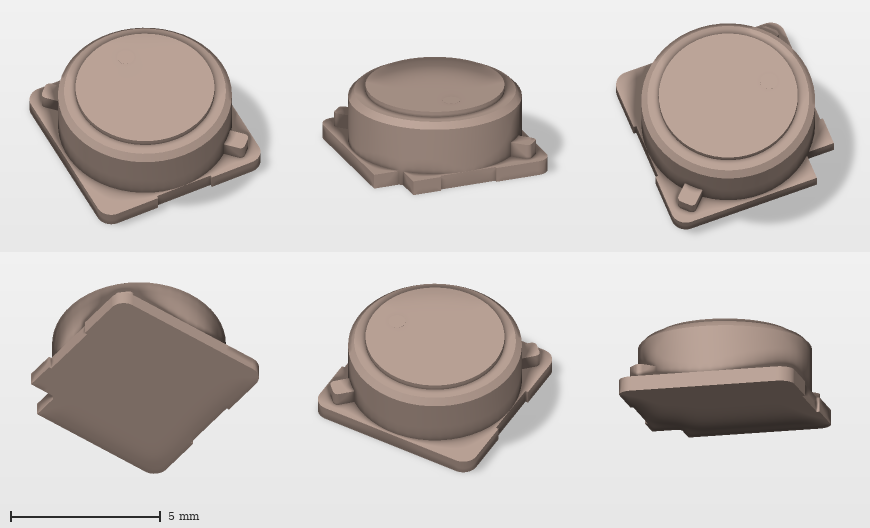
import cadquery as cq

base_side = 6.0
base_height = 0.5
corner_radius = 0.5
corner_notch = 1.0
recess_length = 2.0
recess_depth = 0.095

body_diameter = 5.8
shoulder_diameter = 5.4
shoulder_height = 2.305
bevel = (body_diameter - shoulder_diameter) / 2

cap_diameter = 4.64
cap_top = 2.5
dot_diameter = 0.58
dot_offset = 1.45
total_height = 2.51

tab_span = 7.14
tab_width = 0.64
tab_height = 0.505
tab_corner_radius = 0.16
tab_angle = 45


def make_base():
    """Square plate with three round corners, one notched corner and two side recesses."""
    half = base_side / 2
    plate = cq.Workplane("XY").rect(base_side, base_side).extrude(base_height)
    plate = plate.edges("|Z").fillet(corner_radius)

    notch = (
        cq.Workplane("XY")
        .center(-half, half)
        .rect(2 * corner_notch, 2 * corner_notch)
        .extrude(base_height)
    )
    recesses = (
        cq.Workplane("XY")
        .pushPoints([(-half, 0), (half, 0)])
        .rect(2 * recess_depth, recess_length)
        .extrude(base_height)
    )
    return plate.cut(notch).cut(recesses)


def make_body():
    """Cylinder through the plate; it also fills the inner corner of the notch."""
    body = cq.Workplane("XY").circle(body_diameter / 2).extrude(shoulder_height)
    return body.faces(">Z").chamfer(bevel)


def make_cap():
    """Thin disc on the shoulder, carrying the dot."""
    cap = (
        cq.Workplane("XY")
        .workplane(offset=shoulder_height)
        .circle(cap_diameter / 2)
        .extrude(cap_top - shoulder_height)
    )
    dot = (
        cq.Workplane("XY")
        .workplane(offset=cap_top)
        .center(-dot_offset, 0)
        .circle(dot_diameter / 2)
        .extrude(total_height - cap_top)
    )
    return cap.union(dot)


def make_tabs():
    """Bar on top of the plate, running through the body along the diagonal."""
    bar = (
        cq.Workplane("XY")
        .workplane(offset=base_height)
        .rect(tab_span, tab_width)
        .extrude(tab_height)
    )
    bar = bar.edges("|Z").fillet(tab_corner_radius)
    return bar.rotate((0, 0, 0), (0, 0, 1), tab_angle)


result = make_base().union(make_body()).union(make_cap()).union(make_tabs())